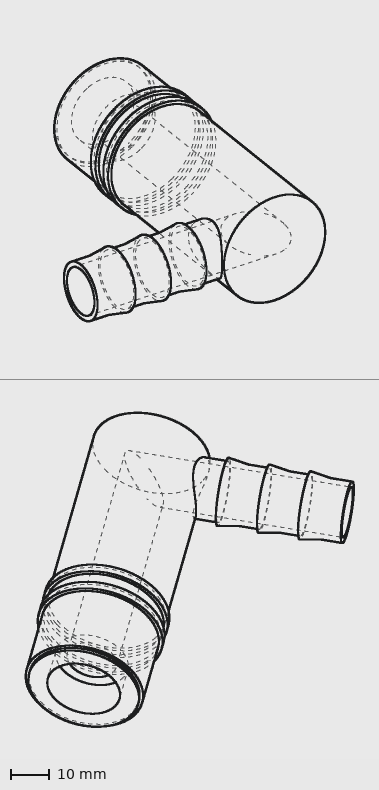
import cadquery as cq

barrel_length = 82.0
barrel_radius = 15.5
spigot_length = 0.9
spigot_radius = 14.6

bore_radius = 6.6
socket_radius = 9.6
socket_depth = 10.0

ring_outer_radius = 16.5
ring_width = 2.3
first_ring_start = 19.9
ring_pitch = 6.0
ring_count = 2

tail_end = 53.55
tail_radius = 8.0
barb_radius = 8.9
barb_pitch = 10.8
barb_length = barb_pitch / 2
first_barb_start = 20.8
barb_count = 3
tail_center = barrel_length - barb_radius


def rod_along_x(radius, start, length):
    """Solid cylinder on the X axis."""
    return cq.Workplane("YZ", origin=(start, 0, 0)).circle(radius).extrude(length)


def rod_along_tail(radius, start, length):
    """Solid cylinder on the tail axis, running outward from a distance below the barrel axis."""
    return cq.Workplane("XZ", origin=(tail_center, -start, 0)).circle(radius).extrude(length)


def make_barb(start):
    """Cone that is widest toward the barrel and tapers down to the tail."""
    return (
        cq.Workplane("XZ", origin=(tail_center, -start, 0))
        .circle(barb_radius)
        .workplane(offset=barb_length)
        .circle(tail_radius)
        .loft(ruled=True)
    )


def make_passage():
    """Two equal bores that turn a sharp mitred corner where their axes cross."""
    along_barrel = rod_along_x(bore_radius, 0, tail_center)
    along_tail = rod_along_tail(bore_radius, 0, tail_end)
    corner = rod_along_x(bore_radius, tail_center - bore_radius, 2 * bore_radius).intersect(
        rod_along_tail(bore_radius, -bore_radius, 2 * bore_radius)
    )
    return along_barrel.union(along_tail).union(corner)


def make_elbow():
    """Barrel with its end spigot, barbed hose tail, socket and passage."""
    elbow = rod_along_x(spigot_radius, 0, spigot_length)
    elbow = elbow.union(rod_along_x(barrel_radius, spigot_length, barrel_length - spigot_length))
    elbow = elbow.union(rod_along_tail(tail_radius, 0, tail_end))
    for index in range(barb_count):
        elbow = elbow.union(make_barb(first_barb_start + index * barb_pitch))
    elbow = elbow.cut(rod_along_x(socket_radius, 0, socket_depth))
    return elbow.cut(make_passage())


def make_seal_ring(start):
    """Flat band that fits on the barrel surface."""
    return (
        cq.Workplane("YZ", origin=(start, 0, 0))
        .circle(ring_outer_radius)
        .circle(barrel_radius)
        .extrude(ring_width)
    )


elbow = make_elbow()
seal_rings = [make_seal_ring(first_ring_start + index * ring_pitch) for index in range(ring_count)]

result = cq.Compound.makeCompound([elbow.solids().val(), *[ring.val() for ring in seal_rings]])